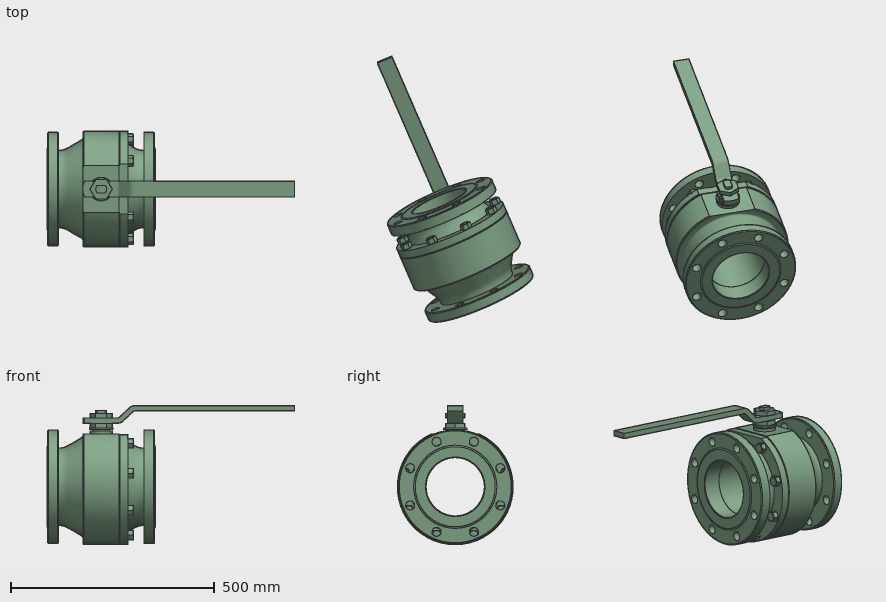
import cadquery as cq
import math


BORE_D = 143.0
BORE_MOUTH_D = 146.0
BALL_D = 224.0
FACE_TO_FACE = 266.5

FLANGE_D = 280.0
FLANGE_THICK = 27.0
RAISED_BASE_D = 204.5
RAISED_FACE_D = 196.5
RAISED_HEIGHT = 2.0
FLANGE_HOLE_D = 22.0
FLANGE_HOLE_CIRCLE_D = 240.0
FLANGE_HOLE_COUNT = 8
RIM_CHAMFER = 2.5

NECK_D = 191.0
NECK_STRAIGHT = 2.5
NECK_BEND_R = 38.0
CONE_ANGLE = 30.0
CONE_ROOT_FILLET = 5.0

BODY_D = 285.0
BODY_LEFT = -45.0
BODY_RIGHT = 44.0
BODY_FLAT_Z = 130.0
COVER_RIGHT = 66.0
COVER_FLAT_Z = 128.5

BOLT_COUNT = 8
BOLT_SPACING = 42.0
BOLT_CIRCLE_D = 254.5
BOLT_CORNER_D = 27.0
BOLT_HEAD_HEIGHT = 14.0
BOLT_HEAD_CHAMFER = 2.5

GLAND_D = 55.0
GLAND_HEIGHT = 7.0
STEM_D = 42.0
WASHER_D = 58.0
WASHER_BOTTOM_Z = 140.5
WASHER_THICK = 4.0
NUT_CORNER_D = 55.0
NUT_HEIGHT = 11.0
STEM_END_D = 27.0
STEM_END_FLATS = 18.0
STEM_END_HEIGHT = 7.0

LEVER_THICK = 13.5
LEVER_WIDTH = 39.0
LEVER_HEEL_R = 45.0
LEVER_RISE = 30.5
LEVER_BEND_X = 42.5
LEVER_BEND_ANGLE = 43.0
LEVER_BEND_R = 6.0
OVERALL_LENGTH = 608.5

FACE_X = FACE_TO_FACE / 2
FLANGE_OUTER_X = FACE_X - RAISED_HEIGHT
FLANGE_INNER_X = FLANGE_OUTER_X - FLANGE_THICK
LEVER_END_X = OVERALL_LENGTH - FACE_X
GLAND_TOP_Z = BODY_FLAT_Z + GLAND_HEIGHT
LOWER_NUT_Z = WASHER_BOTTOM_Z + WASHER_THICK
LEVER_BOTTOM_Z = LOWER_NUT_Z + NUT_HEIGHT
LEVER_TOP_Z = LEVER_BOTTOM_Z + LEVER_THICK
UPPER_NUT_TOP_Z = LEVER_TOP_Z + NUT_HEIGHT


def cylinder_x(diameter, x_start, x_end):
    """Cylinder on the bore axis between two X positions."""
    return cq.Workplane("YZ", origin=(x_start, 0, 0)).circle(diameter / 2).extrude(x_end - x_start)


def cylinder_z(diameter, z_start, z_end):
    """Cylinder on the stem axis between two Z positions."""
    return cq.Workplane("XY", origin=(0, 0, z_start)).circle(diameter / 2).extrude(z_end - z_start)


def end_flange(chamfered_rims):
    """Flange on the +X end: tapered raised face, ring of bolt holes, chamfers on the chosen rims."""
    disc = cylinder_x(FLANGE_D, FLANGE_INNER_X, FLANGE_OUTER_X).faces(chamfered_rims).chamfer(RIM_CHAMFER)
    raised_face = (
        cq.Workplane("YZ", origin=(FLANGE_OUTER_X, 0, 0))
        .circle(RAISED_BASE_D / 2)
        .workplane(offset=RAISED_HEIGHT)
        .circle(RAISED_FACE_D / 2)
        .loft()
    )
    holes = (
        cq.Workplane("YZ", origin=(FLANGE_INNER_X, 0, 0))
        .polarArray(FLANGE_HOLE_CIRCLE_D / 2, 180 / FLANGE_HOLE_COUNT, 360, FLANGE_HOLE_COUNT)
        .circle(FLANGE_HOLE_D / 2)
        .extrude(FLANGE_THICK)
    )
    return disc.union(raised_face).cut(holes)


def neck(root_x):
    """Neck from the +X flange: a short cylinder, a tangent bend and a cone ending at root_x."""
    slope = math.radians(CONE_ANGLE)
    neck_r = NECK_D / 2
    bend_x = FLANGE_INNER_X - NECK_STRAIGHT

    def bend_point(angle):
        return (bend_x - NECK_BEND_R * math.sin(angle), neck_r + NECK_BEND_R * (1 - math.cos(angle)))

    cone_x, cone_r = bend_point(slope)
    root_r = cone_r + (cone_x - root_x) * math.tan(slope)
    return (
        cq.Workplane("XY")
        .moveTo(root_x, 0)
        .lineTo(FLANGE_INNER_X, 0)
        .lineTo(FLANGE_INNER_X, neck_r)
        .lineTo(bend_x, neck_r)
        .threePointArc(bend_point(slope / 2), (cone_x, cone_r))
        .lineTo(root_x, root_r)
        .close()
        .revolve(360, (0, 0, 0), (1, 0, 0))
    )


def flat_topped(disc, flat_z):
    """Cut a disc on the bore axis flat at the given height."""
    above = cq.Workplane("XY", origin=(0, 0, flat_z)).rect(BODY_D, BODY_D).extrude(BODY_D)
    return disc.cut(above)


def centre_body():
    """Body and cover discs, each chamfered on its -X rim and flattened on top."""
    body = cylinder_x(BODY_D, BODY_LEFT, BODY_RIGHT).faces("<X").chamfer(RIM_CHAMFER)
    cover = cylinder_x(BODY_D, BODY_RIGHT, COVER_RIGHT).faces("<X").chamfer(RIM_CHAMFER)
    return flat_topped(body, BODY_FLAT_Z).union(flat_topped(cover, COVER_FLAT_Z))


def body_with_left_neck():
    """Centre body joined to the -X neck, with a fillet around the foot of the cone."""
    joined = centre_body().union(neck(-BODY_LEFT).mirror("YZ"))
    cone_foot = cq.selectors.NearestToPointSelector((BODY_LEFT, 0, 0))
    return joined.edges("%CIRCLE").edges(cone_foot).fillet(CONE_ROOT_FILLET)


def bolt_head():
    """Hexagon bolt head on the cover, with the corners of its outer end chamfered."""
    hexagon = (
        cq.Workplane("YZ", origin=(COVER_RIGHT, 0, 0))
        .polygon(6, BOLT_CORNER_D)
        .extrude(BOLT_HEAD_HEIGHT)
    )
    envelope = (
        cylinder_x(BOLT_CORNER_D, COVER_RIGHT, COVER_RIGHT + BOLT_HEAD_HEIGHT)
        .faces(">X")
        .chamfer(BOLT_HEAD_CHAMFER)
    )
    return hexagon.intersect(envelope)


def bore():
    """Through bore, opened at 45 degrees at both mouths."""
    mouth_depth = (BORE_MOUTH_D - BORE_D) / 2
    return (
        cq.Workplane("XY")
        .moveTo(-FACE_X, 0)
        .lineTo(-FACE_X, BORE_MOUTH_D / 2)
        .lineTo(-FACE_X + mouth_depth, BORE_D / 2)
        .lineTo(FACE_X - mouth_depth, BORE_D / 2)
        .lineTo(FACE_X, BORE_MOUTH_D / 2)
        .lineTo(FACE_X, 0)
        .close()
        .revolve(360, (0, 0, 0), (1, 0, 0))
    )


def make_housing():
    """Housing with both flanges, the bore, the ball chamber and the stem hole."""
    housing = (
        body_with_left_neck()
        .union(end_flange(">X"))
        .union(end_flange("|X").mirror("YZ"))
        .union(neck(COVER_RIGHT))
    )

    for index in range(BOLT_COUNT):
        angle = math.radians((index - (BOLT_COUNT - 1) / 2) * BOLT_SPACING)
        bolt_y = BOLT_CIRCLE_D / 2 * math.sin(angle)
        bolt_z = -BOLT_CIRCLE_D / 2 * math.cos(angle)
        housing = housing.union(bolt_head().translate((0, bolt_y, bolt_z)))

    return (
        housing.union(cylinder_z(GLAND_D, 0, GLAND_TOP_Z))
        .cut(bore())
        .cut(cq.Workplane("XY").sphere(BALL_D / 2))
        .cut(cylinder_z(STEM_D, 0, GLAND_TOP_Z))
    )


def hex_nut(bottom_z):
    """Hexagon nut on the stem axis with two corners on the X axis."""
    return cq.Workplane("XY", origin=(0, 0, bottom_z)).polygon(6, NUT_CORNER_D).extrude(NUT_HEIGHT)


def round_bend(bar, corner_x, corner_z, radius):
    """Round the crosswise edge of the lever that passes through the given corner."""
    edge = cq.selectors.NearestToPointSelector((corner_x, 0, corner_z))
    return bar.edges("|Y").edges(edge).fillet(radius)


def lever():
    """Cranked flat bar of even thickness through both bends, its heel rounded about the stem."""
    bend = math.radians(LEVER_BEND_ANGLE)
    upper_bottom_z = LEVER_BOTTOM_Z + LEVER_RISE
    upper_top_z = LEVER_TOP_Z + LEVER_RISE
    bend_offset = LEVER_THICK * math.tan(bend / 2)
    bend_run = LEVER_RISE / math.tan(bend)
    lower_inside = (LEVER_BEND_X, LEVER_TOP_Z)
    lower_outside = (LEVER_BEND_X + bend_offset, LEVER_BOTTOM_Z)
    upper_outside = (LEVER_BEND_X + bend_run, upper_top_z)
    upper_inside = (LEVER_BEND_X + bend_run + bend_offset, upper_bottom_z)
    bar = (
        cq.Workplane("XZ")
        .moveTo(-LEVER_HEEL_R, LEVER_BOTTOM_Z)
        .lineTo(*lower_outside)
        .lineTo(*upper_inside)
        .lineTo(LEVER_END_X, upper_bottom_z)
        .lineTo(LEVER_END_X, upper_top_z)
        .lineTo(*upper_outside)
        .lineTo(*lower_inside)
        .lineTo(-LEVER_HEEL_R, LEVER_TOP_Z)
        .close()
        .extrude(LEVER_WIDTH / 2, both=True)
    )
    for corner_x, corner_z in (lower_inside, upper_inside):
        bar = round_bend(bar, corner_x, corner_z, LEVER_BEND_R)
    for corner_x, corner_z in (lower_outside, upper_outside):
        bar = round_bend(bar, corner_x, corner_z, LEVER_BEND_R + LEVER_THICK)
    heel = cylinder_z(2 * LEVER_HEEL_R, LEVER_BOTTOM_Z, upper_top_z)
    arm = cq.Workplane("XY", origin=(0, -LEVER_WIDTH / 2, LEVER_BOTTOM_Z)).box(
        LEVER_END_X, LEVER_WIDTH, upper_top_z - LEVER_BOTTOM_Z, centered=False
    )
    return bar.intersect(heel.union(arm))


def stem_end():
    """Round stem end up to the upper nut, then two flats for a spanner."""
    round_part = cylinder_z(STEM_END_D, LEVER_BOTTOM_Z, UPPER_NUT_TOP_Z)
    tip = cylinder_z(STEM_END_D, UPPER_NUT_TOP_Z, UPPER_NUT_TOP_Z + STEM_END_HEIGHT)
    flats = cq.Workplane("XY", origin=(0, 0, UPPER_NUT_TOP_Z)).rect(STEM_END_D, STEM_END_FLATS)
    return round_part.union(tip.intersect(flats.extrude(STEM_END_HEIGHT)))


def make_operator():
    """Bored ball, stem, washer, nuts and lever, turning together as one solid."""
    return (
        cq.Workplane("XY")
        .sphere(BALL_D / 2)
        .union(cylinder_z(STEM_D, 0, WASHER_BOTTOM_Z))
        .cut(cylinder_x(BORE_D, -FACE_X, FACE_X))
        .union(cylinder_z(WASHER_D, WASHER_BOTTOM_Z, LOWER_NUT_Z))
        .union(hex_nut(LOWER_NUT_Z))
        .union(lever())
        .union(hex_nut(LEVER_TOP_Z))
        .union(stem_end())
    )


housing = make_housing()
operator = make_operator()

result = cq.Compound.makeCompound([housing.solids().val(), operator.solids().val()])